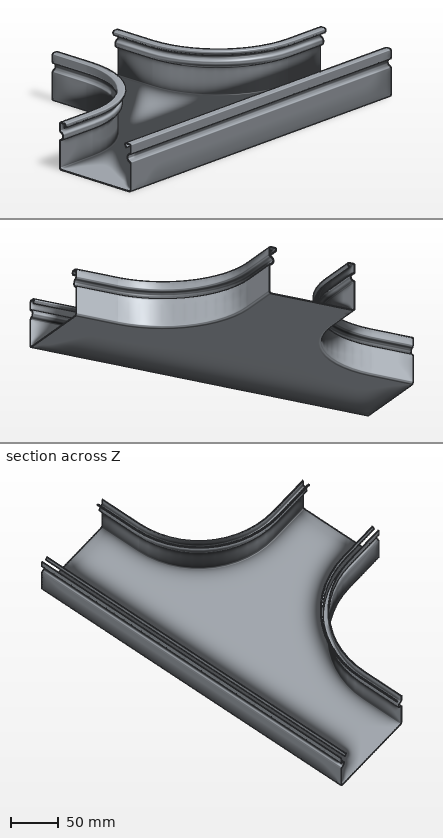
import cadquery as cq
import math


SHEET = 1.2
CHANNEL_WIDTH = 102.5
ARM_LENGTH = 49.7
CORNER_RADIUS = 99.5
TRAY_HEIGHT = 53.7

HALF_WIDTH = CHANNEL_WIDTH / 2
RUN_LENGTH = CHANNEL_WIDTH + 2 * (CORNER_RADIUS + ARM_LENGTH)
RUN_END = RUN_LENGTH / 2
RUN_LEFT = ARM_LENGTH + CORNER_RADIUS
RUN_RIGHT = RUN_LEFT + CHANNEL_WIDTH
RUN_MIDDLE = (RUN_LEFT + RUN_RIGHT) / 2
CORNER_Y = HALF_WIDTH + CORNER_RADIUS

HALF_SHEET = SHEET / 2
FLOOR_BEND_OUTSIDE = 3.2
LIP_BEND_OUTSIDE = 2.5
FLOOR_BEND = FLOOR_BEND_OUTSIDE - HALF_SHEET
LIP_BEND = LIP_BEND_OUTSIDE - HALF_SHEET
LIP_WIDTH = 9.2
CURL_PAST_VERTICAL = 40
TAIL_LENGTH = 2.2
BEAD_HEIGHT = 38.0
BEAD_RADIUS = 4.5
BEAD_BLEND = 2.5
BEAD_ANGLE = 72

SLOT_LENGTH = 32.5
SLOT_WIDTH = 8.5
SLOT_END_GAP = 5.0
SLOT_HEIGHT = 17.2
SLOT_INSET = SLOT_END_GAP + SLOT_LENGTH / 2


def wall_steps():
    """Path up the wall: ("line", length) or ("bend", radius, degrees), left turns positive."""
    bead_half = (BEAD_RADIUS + BEAD_BLEND) * math.sin(math.radians(BEAD_ANGLE))
    lip_bend_bottom = TRAY_HEIGHT - LIP_BEND_OUTSIDE
    lip_flat = LIP_WIDTH - 2 * LIP_BEND_OUTSIDE
    return [
        ("bend", FLOOR_BEND, 90),
        ("line", BEAD_HEIGHT - bead_half - FLOOR_BEND_OUTSIDE),
        ("bend", BEAD_BLEND, BEAD_ANGLE),
        ("bend", BEAD_RADIUS, -2 * BEAD_ANGLE),
        ("bend", BEAD_BLEND, BEAD_ANGLE),
        ("line", lip_bend_bottom - BEAD_HEIGHT - bead_half),
        ("bend", LIP_BEND, 90),
        ("line", lip_flat),
        ("bend", LIP_BEND, 90 + CURL_PAST_VERTICAL),
        ("line", TAIL_LENGTH),
    ]


def side_point(x, z, heading, offset):
    """Point at a distance to the left of a heading."""
    return (x - offset * math.sin(heading), z + offset * math.cos(heading))


def trace(sketch, stations, arcs, offset):
    """Draw one sheet surface through the stations, at a distance from mid-thickness."""
    for middle, station in zip(arcs, stations):
        end = side_point(*station, offset)
        if middle is None:
            sketch = sketch.lineTo(*end)
        else:
            sketch = sketch.threePointArc(side_point(*middle, offset), end)
    return sketch


def wall_profile(plane):
    """Closed sheet section; the outer wall face is at local x = 0 and the tray lies toward -x."""
    x, z, heading = -FLOOR_BEND_OUTSIDE, HALF_SHEET, 0.0
    stations = [(x, z, heading)]
    middles = []
    for step in wall_steps():
        if step[0] == "line":
            x += step[1] * math.cos(heading)
            z += step[1] * math.sin(heading)
            middles.append(None)
        else:
            radius, turn = step[1], math.radians(step[2])
            side = math.copysign(radius, turn)
            centre_x, centre_z = side_point(x, z, heading, side)
            halfway = heading + turn / 2
            middles.append((*side_point(centre_x, centre_z, halfway, -side), halfway))
            heading += turn
            x, z = side_point(centre_x, centre_z, heading, -side)
        stations.append((x, z, heading))

    sketch = cq.Workplane(plane).moveTo(*side_point(*stations[0], -HALF_SHEET))
    sketch = trace(sketch, stations[1:], middles, -HALF_SHEET)
    sketch = sketch.lineTo(*side_point(*stations[-1], HALF_SHEET))
    sketch = trace(sketch, stations[-2::-1], middles[::-1], HALF_SHEET)
    return sketch.close()


def floor():
    """Flat tee-shaped floor, stopping where the bends into the walls begin."""
    inset = FLOOR_BEND_OUTSIDE
    arm_edge = HALF_WIDTH - inset
    near_edge = RUN_LEFT + inset
    far_edge = RUN_RIGHT - inset
    bend_radius = CORNER_RADIUS + inset
    diagonal = bend_radius * math.sqrt(0.5)
    return (
        cq.Workplane("XY")
        .moveTo(0, -arm_edge)
        .lineTo(ARM_LENGTH, -arm_edge)
        .threePointArc((ARM_LENGTH + diagonal, diagonal - CORNER_Y), (near_edge, -CORNER_Y))
        .lineTo(near_edge, -RUN_END)
        .lineTo(far_edge, -RUN_END)
        .lineTo(far_edge, RUN_END)
        .lineTo(near_edge, RUN_END)
        .lineTo(near_edge, CORNER_Y)
        .threePointArc((ARM_LENGTH + diagonal, CORNER_Y - diagonal), (ARM_LENGTH, arm_edge))
        .lineTo(0, arm_edge)
        .close()
        .extrude(SHEET)
    )


def far_wall():
    plane = cq.Plane(origin=(RUN_RIGHT, RUN_END, 0), xDir=(1, 0, 0), normal=(0, -1, 0))
    return wall_profile(plane).extrude(RUN_LENGTH)


def corner_wall():
    """Wall on the +Y side of the arm, round the corner and on to the +Y end of the run."""
    arm_plane = cq.Plane(origin=(0, HALF_WIDTH, 0), xDir=(0, 1, 0), normal=(1, 0, 0))
    arm = wall_profile(arm_plane).extrude(ARM_LENGTH)

    corner_plane = cq.Plane(origin=(ARM_LENGTH, HALF_WIDTH, 0), xDir=(0, 1, 0), normal=(1, 0, 0))
    corner = wall_profile(corner_plane).revolve(90, (CORNER_RADIUS, 0), (CORNER_RADIUS, 1))

    run_plane = cq.Plane(origin=(RUN_LEFT, CORNER_Y, 0), xDir=(-1, 0, 0), normal=(0, 1, 0))
    run = wall_profile(run_plane).extrude(ARM_LENGTH)
    return arm.union(corner).union(run)


def slot_block(plane, centre, direction, depth):
    return (
        cq.Workplane(plane)
        .center(*centre)
        .slot2D(SLOT_LENGTH, SLOT_WIDTH, direction)
        .extrude(depth, both=True)
    )


def slot_blocks():
    """Slot-shaped blocks through the floor, and others spanning both facing walls of each end."""
    run_plane = cq.Plane(origin=(RUN_MIDDLE, 0, 0), xDir=(0, 1, 0), normal=(1, 0, 0))
    blocks = slot_block("XY", (SLOT_INSET, 0), 0, SHEET)
    blocks = blocks.union(slot_block("XZ", (SLOT_INSET, SLOT_HEIGHT), 0, HALF_WIDTH))
    for side in (-1, 1):
        y = side * (RUN_END - SLOT_INSET)
        blocks = blocks.union(slot_block("XY", (RUN_MIDDLE, y), 90, SHEET))
        blocks = blocks.union(slot_block(run_plane, (y, SLOT_HEIGHT), 0, HALF_WIDTH))
    return blocks


def add_slot_seams(tray):
    """Part the sheet along the slot outlines and close it again, keeping the seams as face edges."""
    blocks = slot_blocks()
    plugs = tray.intersect(blocks)
    return tray.cut(blocks).union(plugs, clean=False)


side_wall = corner_wall()
tee = floor().union(far_wall()).union(side_wall).union(side_wall.mirror("XZ"))
result = add_slot_seams(tee)